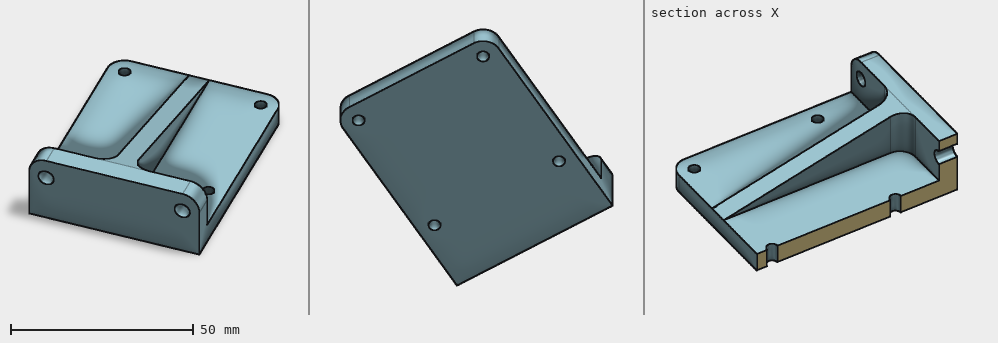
import cadquery as cq

width = 50.0
length = 65.0
height = 20.0
thickness = 6.0
corner_radius = 5.0
rib_fillet_radius = 5.0
hole_spacing = 40.0
base_hole_diameter = 3.3
wall_hole_diameter = 4.5

edge_inset = (width - hole_spacing) / 2
wall_hole_height = height - thickness
base_hole_centre_y = length - edge_inset - hole_spacing / 2


def make_base():
    plate = cq.Workplane("XY").box(width, length, thickness, centered=(True, False, False))
    plate = plate.edges("|Z and >Y").fillet(corner_radius)
    return (
        plate.faces("<Z").workplane(origin=(0, base_hole_centre_y, 0))
        .rarray(hole_spacing, hole_spacing, 2, 2)
        .hole(base_hole_diameter)
    )


def make_wall():
    plate = cq.Workplane("XY").box(width, thickness, height, centered=(True, False, False))
    plate = plate.edges("|Y and >Z").fillet(corner_radius)
    return (
        plate.faces("<Y").workplane(origin=(0, 0, wall_hole_height))
        .rarray(hole_spacing, 0.65, 2, 1)
        .hole(wall_hole_diameter)
    )


def make_rib():
    """Sloping rib whose sides flare into the wall with vertical fillets."""
    half_rib = thickness / 2
    half_flare = half_rib + rib_fillet_radius
    flare_end_y = thickness + rib_fillet_radius
    plan = (
        cq.Workplane("XY").workplane(offset=thickness)
        .moveTo(-half_flare, thickness)
        .lineTo(half_flare, thickness)
        .radiusArc((half_rib, flare_end_y), rib_fillet_radius)
        .lineTo(half_rib, length)
        .lineTo(-half_rib, length)
        .lineTo(-half_rib, flare_end_y)
        .radiusArc((-half_flare, thickness), rib_fillet_radius)
        .close()
        .extrude(height - thickness)
    )
    slope = (
        cq.Workplane("YZ")
        .moveTo(thickness, thickness)
        .lineTo(length, thickness)
        .lineTo(thickness, height)
        .close()
        .extrude(half_flare, both=True)
    )
    return plan.intersect(slope)


result = make_base().union(make_wall()).union(make_rib())